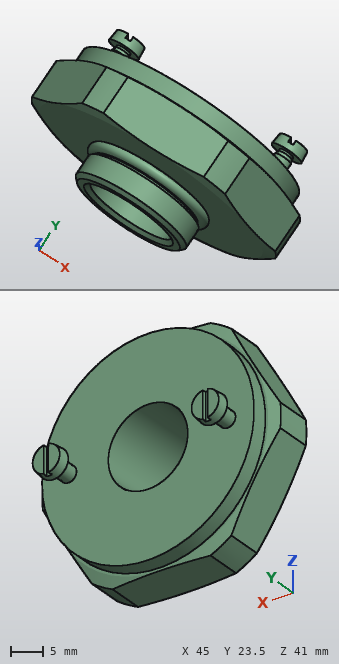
import cadquery as cq


across_flats = 41.0
corner_diameter = 45.0
hex_thickness = 8.0
corner_chamfer_face_diameter = 40.98
corner_chamfer_depth = 0.6

flange_diameter = 40.0
flange_thickness = 3.0

hub_diameter = 20.4
hub_length = 6.48
hub_rim_chamfer = 0.7
bore_diameter = 15.0

groove_diameter = 19.2
groove_width = 1.8
groove_chamfer_length = 0.5
bead_diameter = 22.0
bead_radius = 0.9

screw_spacing = 29.95
shank_diameter = 3.0
neck_diameter = 2.5
shank_length = 2.95
shoulder_length = 0.65
neck_length = 0.4
head_height = 2.0
head_base_diameter = 5.55
head_top_diameter = 5.15
slot_width = 0.9
slot_depth = 0.8

corner_radius = corner_diameter / 2
corner_face_radius = corner_chamfer_face_diameter / 2
hub_radius = hub_diameter / 2
groove_radius = groove_diameter / 2
bore_radius = bore_diameter / 2
bead_center_radius = bead_diameter / 2 - bead_radius
bead_floor_y = -bead_radius - (bead_radius**2 - (bead_center_radius - groove_radius) ** 2) ** 0.5
flange_back_y = hex_thickness + flange_thickness
screw_head_y = shank_length + shoulder_length + neck_length
screw_length = screw_head_y + head_height


def revolve_profile(profile):
    """Turn a closed outline of (radius, Y) points about the Y axis."""
    return profile.close().revolve(360, (0, 0, 0), (0, 1, 0))


def make_hexagon():
    """Hexagon with flats at top and bottom and chamfered corners."""
    circumscribed_diameter = across_flats / 3**0.5 * 2
    prism = cq.Workplane("XZ").polygon(6, circumscribed_diameter).extrude(-hex_thickness)
    corner_turning = revolve_profile(
        cq.Workplane("XY")
        .moveTo(0, 0)
        .lineTo(corner_face_radius, 0)
        .lineTo(corner_radius, corner_chamfer_depth)
        .lineTo(corner_radius, hex_thickness - corner_chamfer_depth)
        .lineTo(corner_face_radius, hex_thickness)
        .lineTo(0, hex_thickness)
    )
    return prism.intersect(corner_turning)


def make_flange():
    """Plain disc on the back of the hexagon."""
    return (
        cq.Workplane("XZ", origin=(0, hex_thickness, 0))
        .circle(flange_diameter / 2)
        .extrude(-flange_thickness)
    )


def make_hub():
    """Hub with a chamfered rim, a groove, and a round bead tangent to the hexagon in the groove."""
    return revolve_profile(
        cq.Workplane("XY")
        .moveTo(0, 0)
        .lineTo(bead_center_radius, 0)
        .threePointArc((bead_diameter / 2, -bead_radius), (groove_radius, bead_floor_y))
        .lineTo(groove_radius, -groove_width)
        .lineTo(hub_radius, -groove_width - groove_chamfer_length)
        .lineTo(hub_radius, -hub_length + hub_rim_chamfer)
        .lineTo(hub_radius - hub_rim_chamfer, -hub_length)
        .lineTo(0, -hub_length)
    )


def make_bore():
    """Through bore with a chamfered mouth at the hub end."""
    mouth_radius = bore_radius + hub_rim_chamfer
    return revolve_profile(
        cq.Workplane("XY")
        .moveTo(0, -hub_length)
        .lineTo(mouth_radius, -hub_length)
        .lineTo(bore_radius, -hub_length + hub_rim_chamfer)
        .lineTo(bore_radius, flange_back_y)
        .lineTo(0, flange_back_y)
    )


def make_housing():
    """Hexagon, flange and hub in one piece, bored through."""
    blank = make_hexagon().union(make_flange()).union(make_hub())
    return blank.cut(make_bore())


def make_screw(x):
    """Screw with a relieved neck and a tapered, slotted head, standing on the flange at X = x."""
    shank_radius = shank_diameter / 2
    neck_radius = neck_diameter / 2
    turned = revolve_profile(
        cq.Workplane("XY")
        .moveTo(0, 0)
        .lineTo(shank_radius, 0)
        .lineTo(shank_radius, shank_length)
        .lineTo(neck_radius, shank_length + shoulder_length)
        .lineTo(neck_radius, screw_head_y)
        .lineTo(head_base_diameter / 2, screw_head_y)
        .lineTo(head_top_diameter / 2, screw_length)
        .lineTo(0, screw_length)
    )
    slot = cq.Workplane("XY").box(slot_width, 2 * slot_depth, head_base_diameter)
    slotted = turned.cut(slot.translate((0, screw_length, 0)))
    return slotted.translate((x, flange_back_y, 0))


housing = make_housing()
screws = [make_screw(side * screw_spacing / 2) for side in (-1, 1)]

result = cq.Compound.makeCompound([housing.val(), *[screw.val() for screw in screws]])